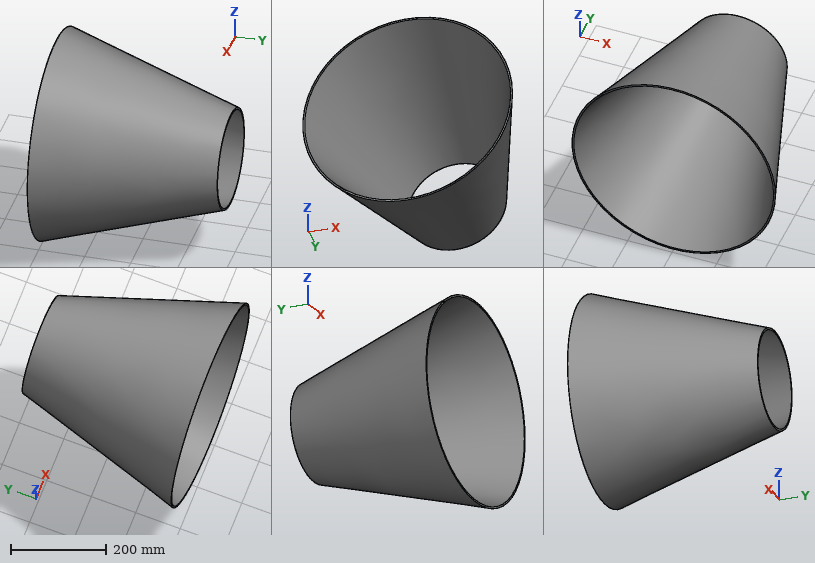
import cadquery as cq

large_diameter = 457.0
small_diameter = 219.0
length = 381.0
wall = 4.0

large_radius = large_diameter / 2
small_radius = small_diameter / 2

wall_section = (
    cq.Workplane("XY")
    .moveTo(large_radius - wall, 0)
    .lineTo(large_radius, 0)
    .lineTo(small_radius, length)
    .lineTo(small_radius - wall, length)
    .close()
)

result = wall_section.revolve(360, (0, 0, 0), (0, 1, 0))